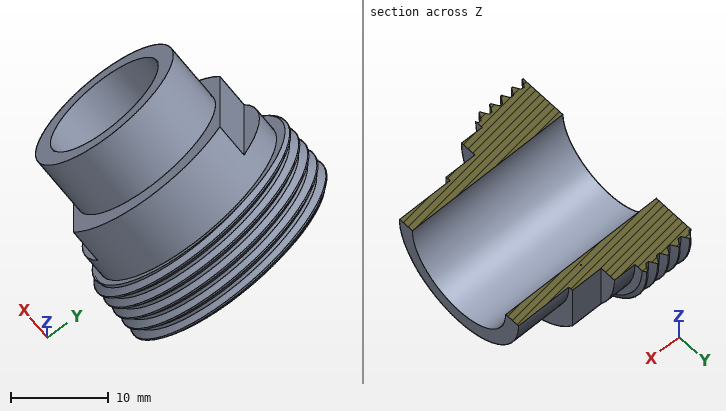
import cadquery as cq
import math

thread_length = 7.15
flat_start = 10.0
collar_end = 14.0
total_length = 21.0

thread_diameter = 26.0
collar_diameter = 23.0
spigot_diameter = 17.9
bore_diameter = 14.0
across_flats = 19.0

pitch = 1.5
sharp_height = pitch * math.sqrt(3) / 2
thread_depth = 5 / 8 * sharp_height
crest_width = pitch / 8
flank_slope = math.tan(math.radians(30))
crest_start = -0.685
ridge_embed = 0.1


def cylinder(diameter, start, end):
    """Solid cylinder around the X axis between two stations."""
    return cq.Workplane("YZ", origin=(start, 0, 0)).circle(diameter / 2).extrude(end - start)


def thread_ridge():
    """Right-handed helical ridge around the X axis, cut off square at both ends."""
    crest_radius = thread_diameter / 2
    base_radius = crest_radius - thread_depth - ridge_embed
    crest_half = crest_width / 2
    base_half = crest_half + (crest_radius - base_radius) * flank_slope

    turns = math.ceil(thread_length / pitch) + 3
    helix = cq.Wire.makeHelix(pitch, turns * pitch, crest_radius)
    ridge = (
        cq.Workplane("XZ")
        .polyline([
            (base_radius, -base_half),
            (crest_radius, -crest_half),
            (crest_radius, crest_half),
            (base_radius, base_half),
        ])
        .close()
        .sweep(cq.Workplane(obj=helix), isFrenet=True)
    )
    ridge = ridge.rotate((0, 0, 0), (1, 1, 1), 120)
    ridge = ridge.translate((crest_start - pitch, 0, 0))
    return ridge.intersect(cylinder(2 * thread_diameter, 0, thread_length))


def threaded_head():
    """Externally threaded end: a root-diameter core with the ridge fused on."""
    core = cylinder(thread_diameter - 2 * thread_depth, 0, thread_length)
    return core.union(thread_ridge())


def flatted_collar():
    """Round collar with two opposite wrench flats facing -Y and +Y."""
    collar = cylinder(collar_diameter, thread_length, collar_end)
    flat_length = collar_end - flat_start
    flat_depth = (collar_diameter - across_flats) / 2
    for side in (-1, 1):
        cutter = cq.Workplane("XY").box(flat_length, flat_depth, collar_diameter)
        flat_middle = (flat_start + collar_end) / 2
        cutter = cutter.translate((flat_middle, side * (across_flats + flat_depth) / 2, 0))
        collar = collar.cut(cutter)
    return collar


spigot = cylinder(spigot_diameter, collar_end, total_length)
bore = cylinder(bore_diameter, 0, total_length)

result = threaded_head().union(flatted_collar()).union(spigot).cut(bore)